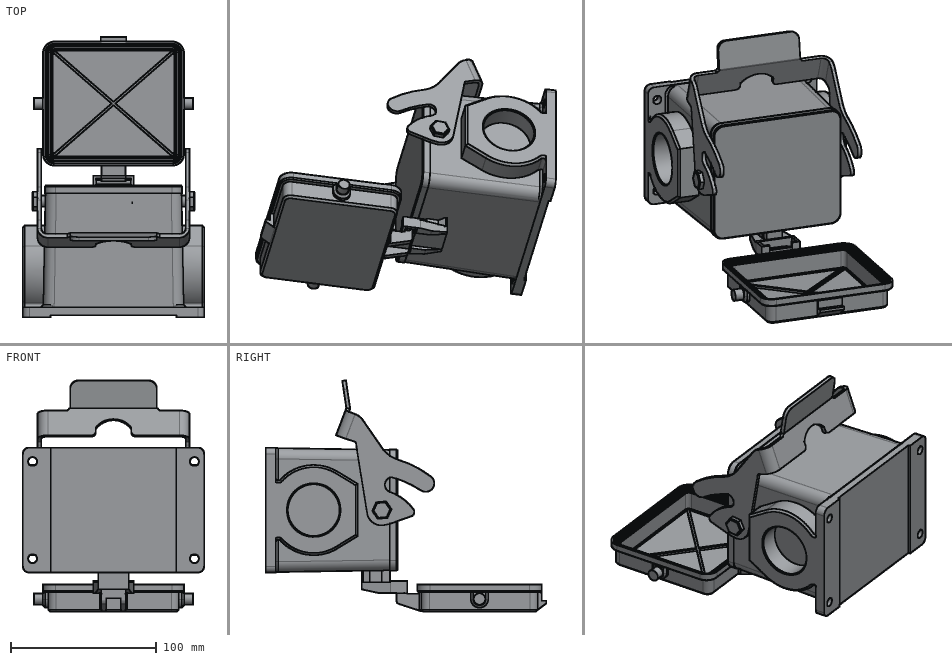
import cadquery as cq
import math


overlap = 2

flange_width = 125.0
flange_height = 86.2
flange_thickness = 7.0
flange_corner = 4.5
mount_hole_diameter = 6.0
mount_hole_spacing_x = 111.5
mount_hole_spacing_z = 66.9
recess_width = 86.8
recess_depth = 1.4
hood_base_width = 97.0
hood_base_height = 85.8
hood_end_width = 93.9
hood_end_height = 83
hood_length = 85.4
hood_corner = 7.3
hood_root_flare = 1.5
hood_flare_height = 85.4
collar_width = 94.7
collar_height = 83.7
collar_end = 90.8
collar_chamfer = 0.8

entry_center_y = 33.0
entry_radius = 31.1
entry_flat_y = 63.4
entry_flat_half = 18.0
entry_edge = 1.5
entry_neck_fillet = 1.7
bore_diameter = 35.5
bore_depth = 14.5
bore_chamfer = 0.8

sheet = 2.7
lever_half_width = 52.4
pivot_y = 80.0
pin_diameter = 8.0
hex_corners = 13.3
hex_turn = 5
hex_height = 3.7
hex_chamfer = 0.8
bend_radius = 7.0
bridge_tilt = 20.8
bridge_y = 54.9
bridge_z = 49.0
bridge_length = 18.4
arch_half_width = 12.2
arch_mouth_half = 14.7
arch_flare = 3.7
arch_shoulder = 5.6
arch_top = 12.0
tab_tilt = 8.5
tab_tip_z = 89.3
tab_half_width = 30.0
tab_root_half = 31.7
tab_root_height = 2
tab_corner = 6.0

lid_center_y = 147.2
lid_top = -51.2
lid_bottom = -70.1
rim_width = 97.4
rim_length = 85.8
rim_height = 5.5
rim_bottom_chamfer = 1.0
pan_width = 90.0
pan_length = 80.4
pan_corner = 5.5
lid_corner = 8.5
lid_bottom_chamfer = 1.5
cavity_width = 85
cavity_length = 74.2
cavity_floor = -66.9
cavity_corner = 3.0
floor_width = 83.5
floor_length = 72.6
floor_z = -67.8
seal_step_insets = (1.5, 2.7, 3.9, 5.2)
seal_step_drop = 0.8
rib_width = 1.7
rib_height = 1.5
rib_end_gap = 2
lid_pin_z = -61.2
lid_pin_length = 109.7
pin_boss_radius = 6.0
pin_boss_chamfer = 1.7
pin_root_gap = 1.0
latch_half_width = 8.9
latch_tip_y = 193.2
latch_foot_y = 185.5
latch_top = -62.5
latch_tip_height = 2
latch_root = 5.8

bracket_half = 14.1
bracket_front_half = 10.6
bracket_front_y = 66.0
bracket_bend_y = 77.7
bracket_taper_y = 85.5
bracket_rear_y = 97.5
bracket_top = -48.7
bracket_floor = -57.2
bracket_front_bottom = -54.7
bracket_shelf_drop = 1.0
pocket_front_y = 87.5
neck_web_y = 67.2
neck_shoulder_y = 71.5
neck_step_y = 79.8
neck_half = 6.8
neck_root_half = 5.8
ear_thickness = 2.1
arm_half = 8.3
arm_gap_half = 5.0
arm_gap_top = -60.9
arm_pad_half = 9.5
arm_pad_height = 1.4
arm_top = -57.5
arm_end_y = 90.0
arm_end_bottom = -64.1
arm_root_bottom = -69.7
tongue_rear_y = 97.4
tongue_flat = 1.5
tongue_top = -52.2
tongue_front = -54.7
arm_nose_radius = 2.3
hinge_pin_diameter = 3.0
hinge_pin_y = 93.1
hinge_pin_z = -54.5


def rounded(width, height, corner):
    """Rectangle with rounded corners."""
    return cq.Sketch().rect(width, height).vertices().fillet(corner)


def block(half_x, y0, y1, z0, z1):
    """Box centred on X = 0 between the given Y and Z limits."""
    size = (2 * half_x, y1 - y0, z1 - z0)
    return cq.Workplane().box(*size).translate((0, (y0 + y1) / 2, (z0 + z1) / 2))


def plate_x(points, half_x):
    """Y-Z outline extruded symmetrically about X = 0."""
    return cq.Workplane("YZ").polyline(points).close().extrude(half_x, both=True)


def rod_x(diameter, y, z, half_length):
    """Round bar along X, symmetrical about X = 0."""
    return cq.Workplane("YZ").center(y, z).circle(diameter / 2).extrude(half_length, both=True)


def both_sides(right_half):
    """A +X side body together with its mirror image."""
    return right_half.union(right_half.mirror("YZ"))


def make_housing():
    """Mounting flange, tapered hood, mating collar and cable entries."""
    flange = (
        cq.Workplane("XZ")
        .placeSketch(rounded(flange_width, flange_height, flange_corner))
        .extrude(-flange_thickness)
    )
    hood_base = rounded(hood_base_width, hood_base_height, hood_corner)
    hood_end = rounded(hood_end_width, hood_end_height, hood_corner)
    hood = (
        cq.Workplane("XZ")
        .placeSketch(hood_base, hood_end.moved(cq.Location(cq.Vector(0, 0, -hood_length))))
        .loft()
    )
    flare_start = rounded(hood_base_width + 2 * hood_root_flare, hood_flare_height, hood_corner)
    flare_end = rounded(hood_base_width, hood_flare_height, hood_corner)
    flare = (
        cq.Workplane("XZ", origin=(0, flange_thickness, 0))
        .placeSketch(flare_start, flare_end.moved(cq.Location(cq.Vector(0, 0, -hood_root_flare))))
        .loft()
    )
    collar = (
        cq.Workplane("XZ", origin=(0, collar_end, 0))
        .placeSketch(rounded(collar_width, collar_height, hood_corner))
        .extrude(collar_end - hood_length)
        .faces(">Y")
        .chamfer(collar_chamfer)
    )
    housing = flange.union(hood).union(flare).union(collar).union(both_sides(make_entry()))
    recess = block(recess_width / 2, 0, recess_depth, -flange_height, flange_height)
    holes = (
        cq.Workplane("XZ")
        .rarray(mount_hole_spacing_x, mount_hole_spacing_z, 2, 2)
        .circle(mount_hole_diameter / 2)
        .extrude(-flange_thickness)
    )
    bore = (
        cq.Workplane("YZ", origin=(flange_width / 2, 0, 0))
        .center(entry_center_y, 0)
        .circle(bore_diameter / 2)
        .extrude(-bore_depth)
        .faces(">X")
        .workplane()
        .circle(bore_diameter / 2 + bore_chamfer)
        .workplane(offset=-bore_chamfer)
        .circle(bore_diameter / 2)
        .loft()
    )
    return housing.cut(recess).cut(holes).cut(both_sides(bore))


def make_entry():
    """Boss on the +X side: a disc drawn out by tangents to a flat end."""
    start = hood_end_width / 2 - overlap

    flat_reach = entry_flat_y - entry_center_y
    corner_angle = math.atan2(entry_flat_half, flat_reach)
    tangent_angle = corner_angle + math.acos(entry_radius / math.hypot(flat_reach, entry_flat_half))
    tangent_y = entry_center_y + entry_radius * math.cos(tangent_angle)
    tangent_z = entry_radius * math.sin(tangent_angle)

    neck_y = flange_thickness + entry_neck_fillet
    neck_drop = entry_center_y - neck_y
    neck_reach = entry_radius + entry_neck_fillet
    neck_z = math.sqrt(neck_reach**2 - neck_drop**2)
    touch_y = neck_y + entry_neck_fillet * neck_drop / neck_reach
    touch_z = neck_z * entry_radius / neck_reach
    middle_angle = 0.5 * (math.pi + math.atan2(-neck_z, neck_drop))
    mid_y = neck_y + entry_neck_fillet * math.cos(middle_angle)
    mid_z = neck_z - entry_neck_fillet * abs(math.sin(middle_angle))
    body = (
        cq.Workplane("YZ", origin=(start, 0, 0))
        .moveTo(flange_thickness, neck_z)
        .lineTo(0, neck_z)
        .lineTo(0, -neck_z)
        .lineTo(flange_thickness, -neck_z)
        .threePointArc((mid_y, -mid_z), (touch_y, -touch_z))
        .threePointArc((entry_center_y, -entry_radius), (tangent_y, -tangent_z))
        .lineTo(entry_flat_y, -entry_flat_half)
        .lineTo(entry_flat_y, entry_flat_half)
        .lineTo(tangent_y, tangent_z)
        .threePointArc((entry_center_y, entry_radius), (touch_y, touch_z))
        .threePointArc((mid_y, mid_z), (flange_thickness, neck_z))
        .close()
        .extrude(flange_width / 2 - start)
    )
    rim_zone = cq.selectors.BoxSelector(
        (0, flange_thickness, -flange_height), (flange_width, hood_length, flange_height)
    )
    return body.faces(">X").edges(rim_zone).chamfer(entry_edge)


bridge_angle = math.radians(bridge_tilt)
bridge_along = (0, math.sin(bridge_angle), math.cos(bridge_angle))
bridge_outward = (0, -math.cos(bridge_angle), math.sin(bridge_angle))


def bridge_point(along, outward):
    """Y and Z of a point given by its distances along and out from the foot of the bend line."""
    y = bridge_y + along * bridge_along[1] + outward * bridge_outward[1]
    z = bridge_z + along * bridge_along[2] + outward * bridge_outward[2]
    return y, z


def make_lever_leg():
    """Flat side plate on the +X side with its hook slot."""
    return (
        cq.Workplane("YZ", origin=(lever_half_width - sheet, 0, 0))
        .moveTo(bridge_y, bridge_z)
        .lineTo(60.5, 47.3)
        .threePointArc((61.8, 46.5), (62.2, 45.0))
        .lineTo(69.7, -1.5)
        .threePointArc((73.5, -8.3), (80.8, -10.5))
        .lineTo(85, -9.7)
        .lineTo(100.5, -4.3)
        .threePointArc((102.4, -1.5), (101.6, 0.8))
        .threePointArc((93.9, 8.3), (85.4, 12.5))
        .threePointArc((82.1, 18.2), (87, 22.6))
        .threePointArc((97.8, 18.5), (106.8, 13.5))
        .threePointArc((115.3, 15.5), (113.8, 23.2))
        .threePointArc((106.3, 28.2), (90.0, 35.2))
        .threePointArc((85.2, 37.7), (81.0, 41.7))
        .lineTo(67.0, 61.8)
        .threePointArc((64.5, 64.5), bridge_point(bridge_length, 0))
        .close()
        .extrude(sheet)
    )


def make_bend(outer, inner):
    """Quarter bend joining the +X leg to the bridge, in the plane across the bridge."""
    straight = lever_half_width - outer
    outer_mid = outer * math.sqrt(0.5)
    inner_mid = inner * math.sqrt(0.5)
    return (
        cq.Workplane(cq.Plane((0, bridge_y, bridge_z), (1, 0, 0), bridge_along))
        .moveTo(straight + outer, 0)
        .threePointArc((straight + outer_mid, -outer_mid), (straight, -outer))
        .lineTo(0, -outer)
        .lineTo(0, -inner)
        .lineTo(straight, -inner)
        .threePointArc((straight + inner_mid, -inner_mid), (straight + inner, 0))
        .close()
        .extrude(bridge_length)
    )


def make_bridge():
    """Cross plate between the legs, with an arched cutout and the root of the thumb tab."""
    channel = both_sides(make_bend(bend_radius, bend_radius - sheet))
    quarter_rise = 1 - math.sqrt(0.5)
    flare_y = arch_flare * quarter_rise
    flare_x = arch_half_width + (arch_mouth_half - arch_half_width) * quarter_rise
    face = cq.Workplane(cq.Plane((0, bridge_y, bridge_z), (1, 0, 0), bridge_outward))
    arch = (
        face.moveTo(-arch_mouth_half, 0)
        .threePointArc((-flare_x, flare_y), (-arch_half_width, arch_flare))
        .lineTo(-arch_half_width, arch_shoulder)
        .threePointArc((0, arch_top), (arch_half_width, arch_shoulder))
        .lineTo(arch_half_width, arch_flare)
        .threePointArc((flare_x, flare_y), (arch_mouth_half, 0))
        .close()
        .extrude(2 * bend_radius)
    )
    tab_root = (
        face.workplane(offset=bend_radius - sheet)
        .moveTo(-tab_root_half, bridge_length)
        .lineTo(tab_root_half, bridge_length)
        .lineTo(tab_half_width, bridge_length + tab_root_height)
        .lineTo(-tab_half_width, bridge_length + tab_root_height)
        .close()
        .extrude(sheet)
    )
    return channel.cut(arch).union(tab_root)


def make_tab():
    """Thumb tab bent away from the root on the upper edge of the bridge."""
    lean = math.radians(tab_tilt)
    facing = cq.Vector(0, -math.cos(lean), -math.sin(lean))
    base_y, base_z = bridge_point(bridge_length + tab_root_height, bend_radius - sheet / 2)
    length = (tab_tip_z - base_z) / math.cos(lean)
    tab = (
        cq.Workplane(cq.Plane((0, base_y, base_z), (1, 0, 0), facing))
        .center(0, length / 2)
        .rect(2 * tab_half_width, length)
        .extrude(sheet / 2, both=True)
    )
    corners = tab.edges(cq.selectors.ParallelDirSelector(facing)).edges(">Z")
    return corners.fillet(tab_corner).union(rod_x(sheet, base_y, base_z, tab_half_width))


def make_pivots():
    """Pivot pins with hexagon heads outside the lever legs."""
    head = (
        cq.Workplane("YZ", origin=(lever_half_width, pivot_y, 0))
        .transformed(rotate=(0, 0, hex_turn))
        .polygon(6, hex_corners)
        .extrude(hex_height)
        .faces(">X")
        .chamfer(hex_chamfer)
    )
    return rod_x(pin_diameter, pivot_y, 0, lever_half_width).union(both_sides(head))


def lid_layer(width, length, corner, z0, z1):
    """Rounded slab centred on the lid between two heights."""
    return (
        cq.Workplane(origin=(0, lid_center_y, z0))
        .placeSketch(rounded(width, length, corner))
        .extrude(z1 - z0)
    )


def make_lid():
    """Shallow tray lying open side up, with a stepped seal seat inside its rim."""
    rim_bottom = lid_top - rim_height
    rim = lid_layer(rim_width, rim_length, lid_corner, rim_bottom, lid_top)
    rim = rim.faces("<Z").chamfer(rim_bottom_chamfer)
    pan = lid_layer(pan_width, pan_length, pan_corner, lid_bottom, rim_bottom)
    pan = pan.faces("<Z").chamfer(lid_bottom_chamfer)
    lid = rim.union(pan).union(make_pin_bosses()).union(make_latch())
    lid = lid.cut(lid_layer(cavity_width, cavity_length, cavity_corner, cavity_floor, lid_top))
    lid = lid.cut(lid_layer(floor_width, floor_length, cavity_corner, floor_z, cavity_floor))
    for count, inset in enumerate(seal_step_insets, start=1):
        step = lid_layer(
            rim_width - 2 * inset,
            rim_length - 2 * inset,
            lid_corner - inset,
            lid_top - count * seal_step_drop,
            lid_top,
        )
        lid = lid.cut(step)
    return lid.union(make_lid_ribs())


def make_lid_ribs():
    """Two low ribs crossing the lid floor from corner to corner."""
    diagonal = math.hypot(floor_width, floor_length)
    slope = math.degrees(math.atan2(floor_length, floor_width))
    ribs = cq.Workplane()
    for angle in (slope, -slope):
        rib = cq.Workplane().box(diagonal - rib_end_gap, rib_width, rib_height)
        ribs = ribs.add(rib.rotate((0, 0, 0), (0, 0, 1), angle))
    return ribs.combine().translate((0, lid_center_y, floor_z + rib_height / 2))


def make_pin_bosses():
    """Locking pins on the lid sides, each on a boss hanging from the rim."""
    start = cavity_width / 2 + pin_root_gap
    rim_bottom = lid_top - rim_height
    boss = (
        cq.Workplane("YZ", origin=(start, lid_center_y, lid_pin_z))
        .moveTo(-pin_boss_radius, 0)
        .threePointArc((0, -pin_boss_radius), (pin_boss_radius, 0))
        .lineTo(pin_boss_radius, rim_bottom - lid_pin_z)
        .lineTo(-pin_boss_radius, rim_bottom - lid_pin_z)
        .close()
        .extrude(rim_width / 2 - start)
        .faces(">X")
        .edges("not(>Z)")
        .chamfer(pin_boss_chamfer)
    )
    pin = (
        cq.Workplane("YZ", origin=(start, lid_center_y, lid_pin_z))
        .circle(pin_diameter / 2)
        .extrude(lid_pin_length / 2 - start)
    )
    return both_sides(boss.union(pin))


def make_latch():
    """Nose on the far edge of the lid."""
    rim_end = lid_center_y + rim_length / 2
    outline = [
        (rim_end - latch_root, lid_top - rim_height),
        (rim_end, lid_top - rim_height),
        (rim_end, latch_top),
        (latch_tip_y, latch_top),
        (latch_tip_y, latch_top - latch_tip_height),
        (latch_foot_y, lid_bottom),
        (rim_end - latch_root, lid_bottom),
    ]
    return plate_x(outline, latch_half_width)


def make_hinge():
    """Bracket under the housing with its neck and pin, and the lid arm it carries."""
    profile = [
        (bracket_front_y, bracket_top - bracket_shelf_drop),
        (bracket_taper_y, bracket_top - bracket_shelf_drop),
        (bracket_taper_y, bracket_top),
        (bracket_rear_y, bracket_top),
        (bracket_rear_y, bracket_floor),
        (bracket_bend_y, bracket_floor),
        (bracket_front_y, bracket_front_bottom),
    ]
    plan = [
        (-bracket_front_half, bracket_front_y),
        (bracket_front_half, bracket_front_y),
        (bracket_half, bracket_taper_y),
        (bracket_half, bracket_rear_y),
        (-bracket_half, bracket_rear_y),
        (-bracket_half, bracket_taper_y),
    ]
    plan_block = (
        cq.Workplane(origin=(0, 0, bracket_floor))
        .polyline(plan)
        .close()
        .extrude(bracket_top - bracket_floor)
    )
    bracket = plate_x(profile, bracket_half).intersect(plan_block)
    pocket = block(
        bracket_half - ear_thickness,
        pocket_front_y,
        bracket_rear_y - ear_thickness,
        bracket_floor,
        bracket_top,
    )
    arm_slot = block(arm_half, pocket_front_y, bracket_rear_y, bracket_floor, bracket_top)
    front_slot = block(arm_half, bracket_front_y, pocket_front_y, bracket_floor, bracket_front_bottom)
    neck_plan = [
        (bracket_front_half, bracket_front_y),
        (bracket_front_half, neck_web_y),
        (neck_half, neck_shoulder_y),
        (neck_half, neck_step_y),
        (neck_root_half, neck_step_y),
        (neck_root_half, bracket_taper_y),
    ]
    outline = neck_plan + [(-x, y) for x, y in reversed(neck_plan)]
    neck_base = bracket_top - overlap
    neck = (
        cq.Workplane(origin=(0, 0, neck_base))
        .polyline(outline)
        .close()
        .extrude(overlap - hood_end_height / 2 - neck_base)
    )
    pin = rod_x(hinge_pin_diameter, hinge_pin_y, hinge_pin_z, bracket_half - ear_thickness / 2)
    return bracket.cut(pocket).cut(arm_slot).cut(front_slot).union(neck).union(pin).union(make_arm())


def make_arm():
    """Forked lid arm reaching under the bracket, with a tongue around the hinge pin."""
    pan_front = lid_center_y - pan_length / 2
    outline = [
        (pan_front, arm_top),
        (tongue_rear_y, arm_top),
        (tongue_rear_y, tongue_top),
        (tongue_rear_y - tongue_flat, tongue_top),
        (arm_end_y, tongue_front),
        (arm_end_y, arm_end_bottom),
        (pan_front, arm_root_bottom),
    ]
    arm = plate_x(outline, arm_half)
    nose = arm.edges(cq.selectors.NearestToPointSelector((0, arm_end_y, arm_end_bottom)))
    gap = block(arm_gap_half, arm_end_y, pan_front, lid_bottom, arm_gap_top)
    pad = block(
        arm_pad_half,
        pan_front - arm_pad_height,
        pan_front,
        lid_bottom + lid_bottom_chamfer,
        lid_top - rim_height,
    )
    return nose.fillet(arm_nose_radius).union(pad).cut(gap)


result = (
    make_housing()
    .union(both_sides(make_lever_leg()))
    .union(make_bridge())
    .union(make_tab())
    .union(make_pivots())
    .union(make_lid())
    .union(make_hinge())
)